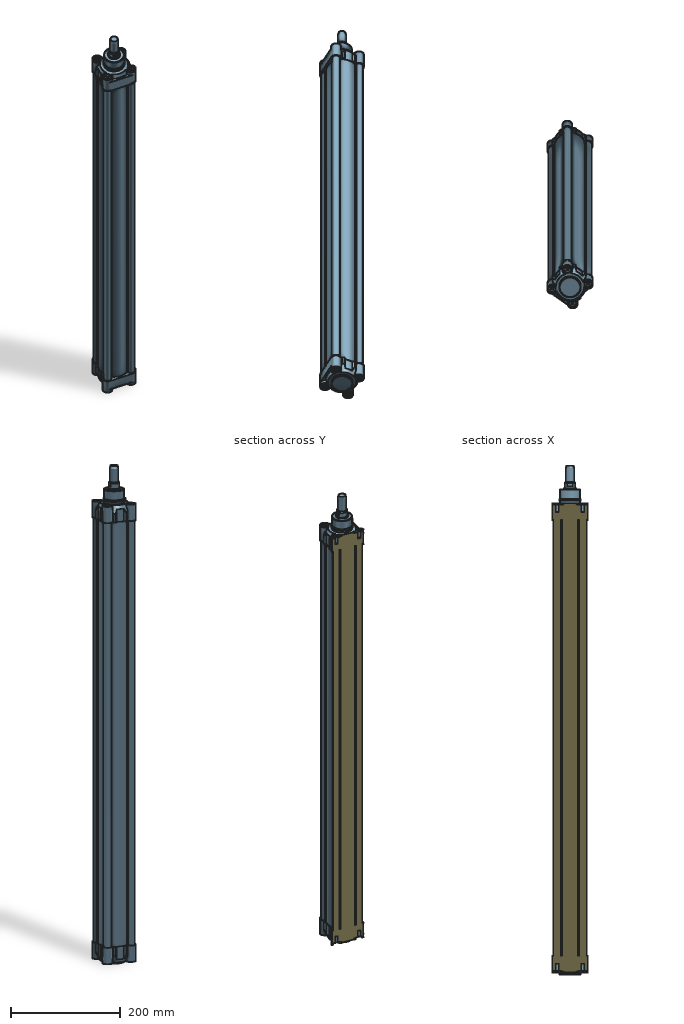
import cadquery as cq
import math

total_length = 929.0
cap_width = 65.0
half_width = cap_width / 2

rear_collar_height = 4.0
cap_height = 31.0
front_cap_top = 860.0
collar_top = 885.0
rear_cap_top = rear_collar_height + cap_height
front_cap_bottom = front_cap_top - cap_height
barrel_length = front_cap_bottom - rear_cap_top

barrel_diameter = 58.0
cap_core_diameter = 58.5
lobe_diameter = 15.0
lobe_flank_offset = 17.0
groove_width = 2.0
groove_floor_offset = 22.0
corner_offset = 23.0

rib_circle_diameter = 67.0
rib_outer_offset = 13.0
rib_root_offset = 15.0
boss_diameter = cap_width - 2 * corner_offset
slot_floor_width = 14.0
slot_flare_angle = 45.0
cone_start_diameter = 51.0
cone_slope = 1.8
bolt_hole_diameter = 4.8
bolt_hole_depth = 16.0
bolt_recess_diameter = 13.0
bolt_recess_depth = 3.0
port_pad_width = 2 * corner_offset
port_pad_setback = 7.0

rear_collar_diameter = 40.0
rear_collar_chamfer = 1.4
collar_diameter = 37.0
collar_chamfer = 1.0
ring_diameter = 40.0
ring_bottom_height = 5.0
ring_rim_height = 2.0
wiper_diameter = 22.0
wiper_height = 2.0

rod_diameter = 20.0
thread_diameter = 16.0
thread_length = 30.0
thread_tip_diameter = 13.0
thread_tip_chamfer = 5.0
rod_shoulder_height = 2.3
flats_width = 17.0
flats_length = 6.0


def cylinder(diameter, bottom, top):
    return cq.Workplane("XY").workplane(offset=bottom).circle(diameter / 2).extrude(top - bottom)


def corner_cylinders(diameter, bottom, top):
    """One upright cylinder on each of the four tie-bolt axes."""
    return (
        cq.Workplane("XY")
        .workplane(offset=bottom)
        .rect(2 * corner_offset, 2 * corner_offset, forConstruction=True)
        .vertices()
        .circle(diameter / 2)
        .extrude(top - bottom)
    )


def revolved(outline):
    """Solid of revolution about Z from (radius, height) points."""
    return cq.Workplane("XZ").polyline(outline).close().revolve(360, (0, 0), (0, 1))


def on_all_sides(shape):
    """Union of four copies of a shape, turned onto the four sides of the part."""
    copies = shape
    for side in range(1, 4):
        copies = copies.union(shape.rotate((0, 0, 0), (0, 0, 1), 90 * side))
    return copies


def cone_envelope():
    """Round blank of cap height whose outer end narrows in a steep cone."""
    rib_radius = rib_circle_diameter / 2
    cone_radius = cone_start_diameter / 2
    cone_height = cone_slope * (rib_radius - cone_radius)
    return revolved(
        [
            (0, 0),
            (rib_radius, 0),
            (rib_radius, cap_height - cone_height),
            (cone_radius, cap_height),
            (0, cap_height),
        ]
    )


def side_ribs():
    """A pair of ribs on each side of the cap, with a flared slot between them."""
    slot_half = slot_floor_width / 2
    floor = math.sqrt((cap_core_diameter / 2) ** 2 - slot_half**2)
    flare = math.tan(math.radians(slot_flare_angle)) * (half_width - floor)
    right_rib = [
        (0, 0),
        (slot_half, floor),
        (slot_half + flare, half_width),
        (rib_outer_offset, half_width),
        (rib_root_offset, floor),
        (rib_root_offset, 0),
    ]
    left_rib = [(-x, y) for x, y in right_rib]
    pair = cq.Workplane("XY").polyline(right_rib).close().polyline(left_rib).close().extrude(cap_height)
    return on_all_sides(pair)


def port_pad():
    """Flat pad filling the +X side between two corner bosses."""
    return cq.Workplane("XY").box(
        half_width, port_pad_width, cap_height - port_pad_setback, centered=(False, True, False)
    )


def end_cap():
    """Cap standing on Z = 0 with its outer end upward."""
    core = cylinder(cap_core_diameter, 0, cap_height).union(side_ribs())
    cap = core.intersect(cone_envelope()).union(port_pad())
    cap = cap.union(corner_cylinders(boss_diameter, 0, cap_height))
    cap = cap.cut(corner_cylinders(bolt_recess_diameter, cap_height - bolt_recess_depth, cap_height))
    return cap.cut(corner_cylinders(bolt_hole_diameter, cap_height - bolt_hole_depth, cap_height))


def flank_trim(size_x, size_y):
    """Upright slab whose removal leaves flat flanks on the lobes."""
    return cq.Workplane("XY").box(size_x, size_y, total_length, centered=(True, True, False))


def lobe_grooves():
    """Narrow lengthwise grooves beside each lobe flank, two on every side of the barrel."""
    groove_centre = lobe_flank_offset - groove_width / 2
    groove_reach = half_width - groove_floor_offset
    pair = (
        cq.Workplane("XY")
        .workplane(offset=rear_cap_top)
        .pushPoints([(side * groove_centre, groove_floor_offset + groove_reach / 2) for side in (-1, 1)])
        .rect(groove_width, groove_reach)
        .extrude(barrel_length)
    )
    return on_all_sides(pair)


def barrel():
    tube = cylinder(barrel_diameter, rear_cap_top, front_cap_bottom)
    middle_width = 2 * lobe_flank_offset
    lobes = corner_cylinders(lobe_diameter, rear_cap_top, front_cap_bottom)
    lobes = lobes.cut(flank_trim(middle_width, cap_width)).cut(flank_trim(cap_width, middle_width))
    return tube.union(lobes).cut(lobe_grooves())


def front_collar():
    """Rod guide with a conical-topped snap ring and a low wiper lip around the rod."""
    radius = collar_diameter / 2
    ring_radius = ring_diameter / 2
    wiper_radius = wiper_diameter / 2
    ring_bottom = front_cap_top + ring_bottom_height
    ring_rim = ring_bottom + ring_rim_height
    return revolved(
        [
            (0, front_cap_top),
            (radius, front_cap_top),
            (radius, ring_bottom),
            (ring_radius, ring_bottom),
            (ring_radius, ring_rim),
            (radius, ring_rim + ring_radius - radius),
            (radius, collar_top - collar_chamfer),
            (radius - collar_chamfer, collar_top),
            (wiper_radius, collar_top),
            (wiper_radius, collar_top + wiper_height),
            (0, collar_top + wiper_height),
        ]
    )


def rear_collar():
    collar = cylinder(rear_collar_diameter, 0, rear_collar_height)
    return collar.faces("<Z").chamfer(rear_collar_chamfer)


def make_housing():
    front_cap = end_cap().translate((0, 0, front_cap_bottom))
    rear_cap = end_cap().mirror("XY").translate((0, 0, rear_cap_top))
    housing = barrel().union(front_cap).union(rear_cap).union(front_collar()).union(rear_collar())
    return housing.cut(cylinder(rod_diameter, front_cap_top, total_length))


def make_rod():
    """Piston rod seated in the guide collar, with wrench flats and a threaded end."""
    rod_radius = rod_diameter / 2
    thread_radius = thread_diameter / 2
    thread_bottom = total_length - thread_length
    shoulder = thread_bottom - rod_shoulder_height
    rod = revolved(
        [
            (0, front_cap_top),
            (rod_radius, front_cap_top),
            (rod_radius, shoulder),
            (thread_radius, thread_bottom),
            (thread_radius, total_length - thread_tip_chamfer),
            (thread_tip_diameter / 2, total_length),
            (0, total_length),
        ]
    )
    flat_depth = (rod_diameter - flats_width) / 2
    for side in (-1, 1):
        flat_x = side * (flats_width + flat_depth) / 2
        flat = cq.Workplane("XY").box(flat_depth, rod_diameter, flats_length)
        rod = rod.cut(flat.translate((flat_x, 0, shoulder - flats_length / 2)))
    return rod


housing = make_housing()
piston_rod = make_rod()
result = cq.Compound.makeCompound([housing.solids().val(), piston_rod.solids().val()])